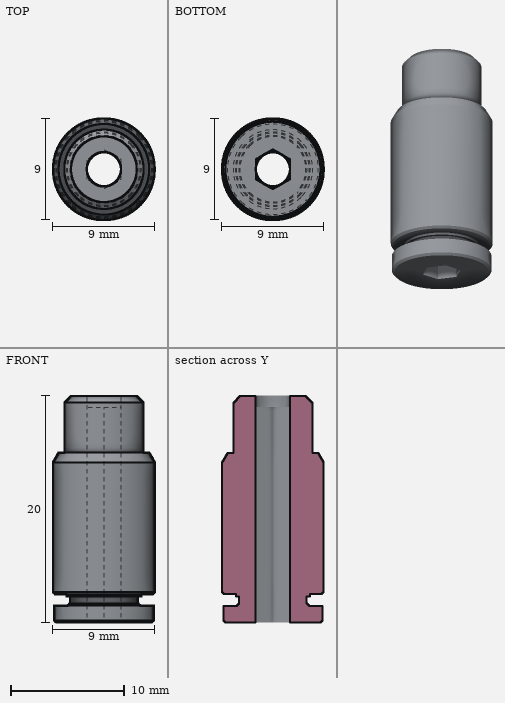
import cadquery as cq
import math

total_height = 20.0

flange_diameter = 8.8
flange_height = 1.5
flange_chamfer = 0.2
stem_diameter = 6.0
stem_flare = 0.2

seat_diameter = 6.6
seat_height = 0.2

body_diameter = 9.0
body_bottom = 2.5
body_bottom_chamfer = 0.2
neck_length = 5.0
body_top_chamfer_width = 0.5
body_top_chamfer_angle = 30.0

neck_diameter = 7.0
neck_chamfer = 0.6

bore_diameter = 3.0
bore_depth = 1.0
hex_across_flats = bore_diameter
hex_rotation = 30.0


def make_outside():
    """Turned outside shape: half profile of (radius, height) points, revolved about Z."""
    flange_radius = flange_diameter / 2
    stem_radius = stem_diameter / 2
    seat_radius = seat_diameter / 2
    body_radius = body_diameter / 2
    neck_radius = neck_diameter / 2
    seat_bottom = body_bottom - seat_height
    body_top = total_height - neck_length
    body_top_chamfer_height = body_top_chamfer_width / math.tan(math.radians(body_top_chamfer_angle))

    profile = [
        (0, 0),
        (flange_radius - flange_chamfer, 0),
        (flange_radius, flange_chamfer),
        (flange_radius, flange_height),
        (stem_radius + stem_flare, flange_height),
        (stem_radius, flange_height + stem_flare),
        (stem_radius, seat_bottom),
        (seat_radius, seat_bottom),
        (seat_radius, body_bottom),
        (body_radius - body_bottom_chamfer, body_bottom),
        (body_radius, body_bottom + body_bottom_chamfer),
        (body_radius, body_top - body_top_chamfer_height),
        (body_radius - body_top_chamfer_width, body_top),
        (neck_radius, body_top),
        (neck_radius, total_height - neck_chamfer),
        (neck_radius - neck_chamfer, total_height),
        (0, total_height),
    ]
    return cq.Workplane("XZ").polyline(profile).close().revolve(360, (0, 0), (0, 1))


def make_passage():
    """Short round bore at the top, opening into a hexagon with two flats facing +X and -X."""
    hex_across_corners = hex_across_flats / math.cos(math.pi / 6)
    hex_length = total_height - bore_depth
    hexagon = cq.Workplane("XY").polygon(6, hex_across_corners).extrude(hex_length)
    hexagon = hexagon.rotate((0, 0, 0), (0, 0, 1), hex_rotation)
    bore = cq.Workplane("XY").workplane(offset=hex_length).circle(bore_diameter / 2).extrude(bore_depth)
    return hexagon.union(bore)


result = make_outside().cut(make_passage())